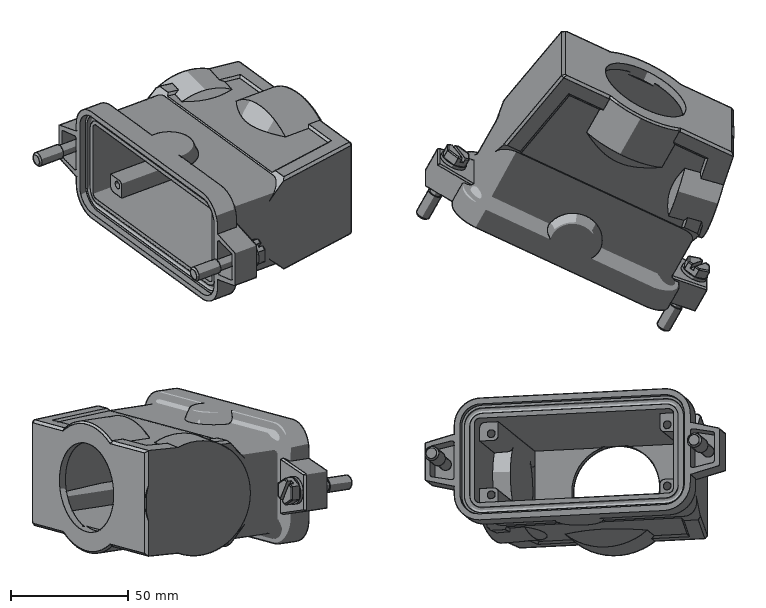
import cadquery as cq
import math


overlap = 1.3
beyond = 129.5

flange_half_x = 51.9
flange_half_z = 26.5
flange_corner = 11.5
flange_depth = 10.4
flange_edge_round = 0.9
flange_fillet = 3.8

body_half_x = 46.9
body_half_z = 21.5
body_corner = 7.0
body_top = 38.8

rear_y = 79.8
housing_half_z = 23.0
end_tilt = 10.0
tilt_tan = math.tan(math.radians(end_tilt))
rear_half_x = body_half_x - (rear_y - body_top) * tilt_tan
shoulder_z = body_half_z - body_corner
shoulder_rim_y = 39.2
shoulder_y = shoulder_rim_y - (housing_half_z - shoulder_z)
housing_edge = 1.2

panel_half_z = 22.0
panel_top = 72.9
panel_border = 7.4
panel_step = housing_half_z - panel_half_z

entry_radius = 28.5
entry_bottom = 59.7
entry_edge = 0.9
entry_bore = 38.6

side_center = (-46.7, 55.3)
side_radius = 25.0
side_length = 18.0
side_pad_depth = 7.8

hump_y = 11.7
hump_base_radius = 12.5
hump_top_radius = 10.4
hump_edge_round = 0.8

mouth_margin = 2.6
mouth_depth = 3.0
cavity_half_x = 43.8
cavity_half_z = 18.4
cavity_corner = 2.3
cavity_rear_half_x = 35.6
rear_wall = 3.2
cavity_end = rear_y - rear_wall
seal_margin = 4.9
seal_radius = 1.2
plug_radius = 19.4

post_start = 12.2
post_inner_z = 10.4
post_corner = 2.0
post_hole_x = 38.7
post_hole_z = 13.3
post_hole_diameter = 3.4
post_hole_depth = 10.4

ear_half_x = 64.8
ear_tip_half_z = 8.2
ear_root_half_z = 11.4
ear_depth = 11.9
ear_edge = 0.8
ear_wall = 2.2
ear_floor = 3.4
ear_pocket_tip_half_z = 6.6
ear_pocket_root_half_z = 8.7
ear_pocket_round = 1.2
screw_x = 57.8
washer_diameter = 11.9
washer_top = 13.3
head_across_flats = 10.2
head_top = 17.5
head_chamfer = 0.5
head_turn = 30.0
head_slot_width = 1.7
head_slot_depth = 2.2
shank_diameter = 4.9
thread_start = -4.7
thread_diameter = 6.2
screw_tip = -16.8
thread_chamfer = 0.8


def plane_at(y):
    """Work plane facing +Y at height y, with local x along -X and local y along Z."""
    return cq.Workplane(cq.Plane(origin=(0, y, 0), xDir=(-1, 0, 0), normal=(0, 1, 0)))


def rounded_block(half_x, half_z, corner, start, end):
    block = plane_at(start).rect(2 * half_x, 2 * half_z).extrude(end - start)
    return block.edges("|Y").fillet(corner)


def cylinder(x, z, diameter, start, end):
    return plane_at(start).center(-x, z).circle(diameter / 2).extrude(end - start)


def prism_xy(points, low_z, high_z):
    return cq.Workplane("XY", origin=(0, 0, low_z)).polyline(points).close().extrude(high_z - low_z)


def both_ends(shape):
    return shape.union(shape.mirror("YZ"))


def both_sides(shape):
    return shape.union(shape.mirror("XY"))


def flange_and_body():
    flange = rounded_block(flange_half_x, flange_half_z, flange_corner, 0, flange_depth)
    flange = flange.faces(">Y").edges().fillet(flange_edge_round)
    body = rounded_block(body_half_x, body_half_z, body_corner, 0, body_top)
    margin = overlap / 2
    around_body = cq.selectors.BoxSelector(
        (-body_half_x - margin, flange_depth - margin, -body_half_z - margin),
        (body_half_x + margin, flange_depth + margin, body_half_z + margin),
    )
    return flange.union(body).edges(around_body).fillet(flange_fillet)


def side_plane():
    """Plane of the sloping -X face, facing inwards, centred on the blind entry."""
    angle = math.radians(end_tilt)
    return cq.Plane(
        origin=(side_center[0], side_center[1], 0),
        xDir=(0, 0, -1),
        normal=(math.cos(angle), -math.sin(angle), 0),
    )


def upper_housing():
    """Housing with sloping ends; 45 degree shoulders lead from its broad sides into the body."""
    outline = [
        (-body_half_x, shoulder_y), (body_half_x, shoulder_y), (body_half_x, body_top),
        (rear_half_x, rear_y), (-rear_half_x, rear_y), (-body_half_x, body_top),
    ]
    housing = prism_xy(outline, -housing_half_z, housing_half_z)
    housing = housing.faces(">Z or <Z").edges("not |X").chamfer(housing_edge)
    pad_reach = rear_y - side_center[1] + side_radius
    pad = (
        cq.Workplane(side_plane())
        .center(0, pad_reach / 2)
        .rect(2 * housing_half_z, pad_reach)
        .extrude(side_pad_depth)
        .faces("<X").edges("not |Z").chamfer(housing_edge)
    )
    housing = housing.union(pad)
    section = [
        (rear_y, -housing_half_z), (rear_y, housing_half_z),
        (shoulder_rim_y, housing_half_z), (shoulder_y, shoulder_z),
        (shoulder_y, -shoulder_z), (shoulder_rim_y, -housing_half_z),
    ]
    limit = cq.Workplane("YZ").polyline(section).close().extrude(beyond, both=True)
    housing = housing.intersect(limit)
    return housing.faces(">Y").edges().chamfer(housing_edge)


def panel_recess():
    """Pocket with 45 degree walls on the +Z side, open towards the body."""
    border = panel_border / math.cos(math.radians(end_tilt))

    def outline(inset):
        top = panel_top - inset
        top_x = rear_half_x + (rear_y - top) * tilt_tan - border - inset
        low = shoulder_y
        low_x = top_x + (top - low) * tilt_tan
        return [(-low_x, low), (low_x, low), (top_x, top), (-top_x, top)]

    wide = cq.Workplane("XY", origin=(0, 0, housing_half_z)).polyline(outline(0)).close()
    return (
        wide.workplane(offset=-panel_step).polyline(outline(panel_step)).close().loft(ruled=True)
    )


def rear_entry():
    """Upright round boss; its 45 degree end runs into the panels and stops inside the cavity."""
    run_out = entry_radius - cavity_half_z
    boss = cylinder(0, 0, 2 * entry_radius, entry_bottom - run_out, rear_y)
    boss = boss.faces("<Y").chamfer(run_out)
    return boss.faces(">Y").edges().chamfer(entry_edge)


def side_entry():
    """Blind round boss square to the sloping -X face, with the same 45 degree end."""
    run_out = side_radius - cavity_half_z
    boss = cq.Workplane(side_plane()).circle(side_radius).extrude(side_length + run_out)
    boss = boss.faces(">X").chamfer(run_out)
    return boss.cut(plane_at(rear_y).rect(beyond, beyond).extrude(beyond))


def hump():
    """Tapered half-round hump on the +Z side, standing level with the flange."""
    rise = flange_half_z - cavity_half_z
    slope = (hump_base_radius - hump_top_radius) / (flange_half_z - body_half_z)
    base_radius = hump_top_radius + rise * slope
    cone = (
        cq.Workplane("XY", origin=(0, hump_y, cavity_half_z))
        .circle(base_radius)
        .workplane(offset=rise)
        .circle(hump_top_radius)
        .loft()
        .faces(">Z").edges().fillet(hump_edge_round)
    )
    web = cq.Workplane("XY", origin=(0, hump_y / 2, cavity_half_z))
    web = web.rect(2 * hump_top_radius - 2 * hump_edge_round, hump_y).extrude(rise)
    return cone.union(web).cut(plane_at(-beyond).rect(beyond, beyond).extrude(beyond))


def ear():
    """Tapering ear, widening from its tip until it is buried in the body wall; hollow from below."""
    taper = (ear_root_half_z - ear_tip_half_z) / (ear_half_x - flange_half_x)
    buried_x = body_half_x - overlap
    buried_half_z = ear_tip_half_z + (ear_half_x - buried_x) * taper
    outline = [
        (buried_x, -buried_half_z), (ear_half_x, -ear_tip_half_z),
        (ear_half_x, ear_tip_half_z), (buried_x, buried_half_z),
    ]
    plate = cq.Workplane("XZ").polyline(outline).close().extrude(-ear_depth)
    plate = plate.edges("|Y and >X").fillet(ear_edge)
    plate = plate.faces(">Y").edges("not <X").chamfer(ear_edge)
    pocket_tip = ear_half_x - ear_wall
    pocket_outline = [
        (flange_half_x, -ear_pocket_root_half_z), (pocket_tip, -ear_pocket_tip_half_z),
        (pocket_tip, ear_pocket_tip_half_z), (flange_half_x, ear_pocket_root_half_z),
    ]
    pocket = cq.Workplane("XZ").polyline(pocket_outline).close().extrude(-(ear_depth - ear_floor))
    pocket = pocket.edges("|Y").fillet(ear_pocket_round)
    return plate.cut(pocket)


def screw():
    """Slotted hexagon screw with a washer, a thin shank and a thicker thread."""
    washer = cylinder(screw_x, 0, washer_diameter, ear_depth - ear_edge, washer_top)
    across_corners = head_across_flats / math.cos(math.pi / 6)
    turned = plane_at(washer_top).center(-screw_x, 0).transformed(rotate=(0, 0, head_turn))
    head = turned.polygon(6, across_corners).extrude(head_top - washer_top)
    head = head.faces(">Y").edges().chamfer(head_chamfer)
    slot = turned.workplane(offset=head_top - washer_top - head_slot_depth)
    slot = slot.transformed(rotate=(0, 0, 90))
    head = head.cut(slot.rect(2 * across_corners, head_slot_width).extrude(head_slot_depth))
    shank = cylinder(screw_x, 0, shank_diameter, thread_start, ear_depth)
    thread = cylinder(screw_x, 0, thread_diameter, screw_tip, thread_start)
    thread = thread.faces("<Y").edges().chamfer(thread_chamfer)
    return washer.union(head).union(shank).union(thread)


def cavity():
    """Inside space: a straight stretch, then ends that close in towards the rear wall."""
    straight = rounded_block(cavity_half_x, cavity_half_z, cavity_corner, 0, body_top)
    outline = [
        (-cavity_half_x, body_top), (cavity_half_x, body_top),
        (cavity_rear_half_x, cavity_end), (-cavity_rear_half_x, cavity_end),
    ]
    space = straight.union(prism_xy(outline, -cavity_half_z, cavity_half_z))
    plug = cq.Workplane(side_plane()).circle(plug_radius).extrude(side_length)
    plug_limit = cq.Workplane("YZ", origin=(-cavity_rear_half_x, 0, 0)).rect(2 * beyond, beyond).extrude(-beyond)
    space = space.cut(plug.intersect(plug_limit))

    post_width = cavity_half_x - cavity_rear_half_x
    post_height = cavity_half_z - post_inner_z
    post = (
        plane_at(post_start)
        .center(-cavity_rear_half_x - post_width / 2, post_inner_z + post_height / 2)
        .rect(post_width, post_height)
        .extrude(cavity_end - post_start)
        .edges("|Y and <X and <Z").fillet(post_corner)
    )
    hole_end = post_start + post_hole_depth
    post = post.cut(cylinder(post_hole_x, post_hole_z, post_hole_diameter, post_start, hole_end))
    return space.cut(both_ends(both_sides(post)))


def mouth():
    """Wide step just inside the mouth."""
    half_x = flange_half_x - mouth_margin
    half_z = flange_half_z - mouth_margin
    return rounded_block(half_x, half_z, flange_corner - mouth_margin, 0, mouth_depth)


def seal_groove():
    """Half-round channel running around the seat at the bottom of the mouth."""
    half_x = flange_half_x - seal_margin
    half_z = flange_half_z - seal_margin
    ring = rounded_block(half_x, half_z, flange_corner - seal_margin, 0, mouth_depth)
    path = ring.faces(">Y").wires().val()
    start = cq.Plane(origin=path.positionAt(0), xDir=(0, 1, 0), normal=path.tangentAt(0))
    return cq.Workplane(start).circle(seal_radius).sweep(cq.Workplane(path))


shell = flange_and_body()
shell = shell.union(upper_housing().cut(both_sides(panel_recess())))
shell = shell.union(rear_entry())
shell = shell.union(side_entry())
shell = shell.union(both_sides(hump()))
shell = shell.union(both_ends(ear()))
shell = shell.cut(mouth()).cut(seal_groove()).cut(cavity())
shell = shell.cut(cylinder(0, 0, entry_bore, cavity_end - overlap, rear_y))

result = shell.union(both_ends(screw()))